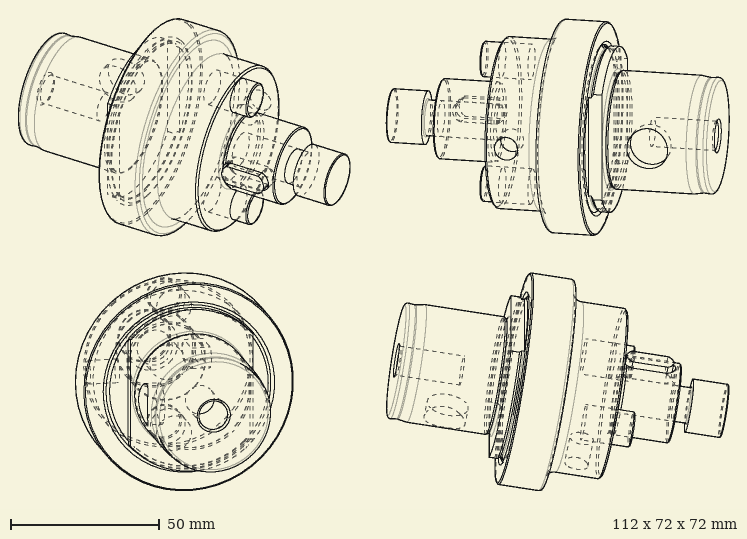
import cadquery as cq

TOTAL_LENGTH = 112.0

SHANK_RADIUS = 20.0
NOSE_RADIUS = 19.7
NOSE_FILLET = 1.0
GROOVE_RADIUS = 19.5
GROOVE_START = 3.0
GROOVE_WIDTH = 0.5
SHANK_FULL_X = 6.7

COLLAR_X = 35.4
COLLAR_RADIUS = 28.0
FLATS_WIDTH = 42.0

FLANGE_X = 40.0
FLANGE_END_X = 55.1
FLANGE_RADIUS = 72.0 / 2
FLANGE_CHAMFER = 0.5
FLANGE_FILLET = 1.0

HUB_END_X = 74.0
HUB_RADIUS = 29.0
HUB_ROOT_FILLET = 3.7
HUB_CHAMFER = 0.7

SPIGOT_END_X = 95.0
SPIGOT_RADIUS = 13.5
SPIGOT_CHAMFER = 0.5

SHOULDER_RELIEF_DEPTH = 0.5
SHOULDER_RELIEF_FILLET = 0.9
SHANK_RELIEF_WIDTH = 1.8
SHANK_RELIEF_SLOPE = 0.7
SPIGOT_RELIEF_WIDTH = 2.2
SPIGOT_RELIEF_SLOPE = 1.0

CORNER_RELIEF_DEPTH = 0.8
CORNER_RELIEF_WIDTH = 1.7
CORNER_RELIEF_HEIGHT = 1.5
CORNER_RELIEF_FILLET = 1.1

NOSE_HOLE_RADIUS = 4.9
NOSE_HOLE_DEPTH = 22.4
NOSE_HOLE_CHAMFER = 0.8

SHANK_HOLE_X = 20.0
SHANK_HOLE_DIAMETER = 14.0
SHANK_HOLE_DEPTH = 6.0
HUB_HOLE_X = 66.6
HUB_HOLE_DIAMETER = 8.0
HUB_HOLE_DEPTH = 10.1

PIN_RADIUS = 12.0 / 2
PIN_OFFSET = 22.0
PIN_END_X = 80.5
PIN_SEAT_DEPTH = 10.1
PIN_CHAMFER = 0.5

KEY_CENTER_X = 84.0
KEY_WIDTH = 7.2
KEY_STRAIGHT = 12.0
KEY_END_RISE = 2.0
KEYWAY_END_RISE = 2.9
KEYWAY_FLOOR = 9.0
KEY_TOP = 15.5

NECK_RADIUS = 6.0
SCREW_DEPTH = 20.2
HEAD_X = 99.9
HEAD_RADIUS = 9.1
NECK_FILLET = 0.5
HEAD_CHAMFER = 0.3


def axial_cylinder(start_x, end_x, radius, z=0):
    """Solid cylinder parallel to X."""
    disc = cq.Workplane("YZ", origin=(start_x, 0, z)).circle(radius)
    return disc.extrude(end_x - start_x)


def housing_profile():
    """Half section of the turned housing, closed along the axis."""
    shank_floor = SHANK_RADIUS - SHOULDER_RELIEF_DEPTH
    collar_floor = COLLAR_RADIUS - CORNER_RELIEF_DEPTH
    spigot_floor = SPIGOT_RADIUS - SHOULDER_RELIEF_DEPTH
    shank_relief_x = COLLAR_X - SHANK_RELIEF_WIDTH
    collar_relief_x = FLANGE_X - CORNER_RELIEF_WIDTH
    spigot_relief_x = HUB_END_X + SPIGOT_RELIEF_WIDTH
    corner_bottom_x = FLANGE_X + CORNER_RELIEF_DEPTH
    relief = SHOULDER_RELIEF_FILLET
    corner = CORNER_RELIEF_FILLET
    root = HUB_ROOT_FILLET

    profile = cq.Workplane("XY").moveTo(0, 0).lineTo(0, NOSE_RADIUS - NOSE_FILLET)
    profile = (
        profile.radiusArc((NOSE_FILLET, NOSE_RADIUS), NOSE_FILLET)
        .lineTo(GROOVE_START, GROOVE_RADIUS)
        .lineTo(GROOVE_START + GROOVE_WIDTH, GROOVE_RADIUS)
        .lineTo(SHANK_FULL_X, SHANK_RADIUS)
    )
    profile = (
        profile.lineTo(shank_relief_x, SHANK_RADIUS)
        .lineTo(shank_relief_x + SHANK_RELIEF_SLOPE, shank_floor)
        .lineTo(COLLAR_X - relief, shank_floor)
        .radiusArc((COLLAR_X, shank_floor + relief), -relief)
        .lineTo(COLLAR_X, COLLAR_RADIUS)
    )
    profile = (
        profile.lineTo(collar_relief_x, COLLAR_RADIUS)
        .lineTo(collar_relief_x + CORNER_RELIEF_DEPTH, collar_floor)
        .lineTo(corner_bottom_x - corner, collar_floor)
        .radiusArc((corner_bottom_x, collar_floor + corner), -corner)
        .lineTo(FLANGE_X, COLLAR_RADIUS + CORNER_RELIEF_HEIGHT)
    )
    profile = (
        profile.lineTo(FLANGE_X, FLANGE_RADIUS - FLANGE_CHAMFER)
        .lineTo(FLANGE_X + FLANGE_CHAMFER, FLANGE_RADIUS)
        .lineTo(FLANGE_END_X - FLANGE_FILLET, FLANGE_RADIUS)
        .radiusArc((FLANGE_END_X, FLANGE_RADIUS - FLANGE_FILLET), FLANGE_FILLET)
        .lineTo(FLANGE_END_X, HUB_RADIUS + root)
        .radiusArc((FLANGE_END_X + root, HUB_RADIUS), -root)
        .lineTo(HUB_END_X - HUB_CHAMFER, HUB_RADIUS)
        .lineTo(HUB_END_X, HUB_RADIUS - HUB_CHAMFER)
    )
    return (
        profile.lineTo(HUB_END_X, spigot_floor + relief)
        .radiusArc((HUB_END_X + relief, spigot_floor), -relief)
        .lineTo(spigot_relief_x - SPIGOT_RELIEF_SLOPE, spigot_floor)
        .lineTo(spigot_relief_x, SPIGOT_RADIUS)
        .lineTo(SPIGOT_END_X - SPIGOT_CHAMFER, SPIGOT_RADIUS)
        .lineTo(SPIGOT_END_X, SPIGOT_RADIUS - SPIGOT_CHAMFER)
        .lineTo(SPIGOT_END_X, 0)
        .close()
    )


def wrench_flat_cutter(side):
    """Block that trims the collar to a flat on one Y side, down to the flange face."""
    size = 2 * COLLAR_RADIUS
    length = FLANGE_X - COLLAR_X
    center_y = side * (FLATS_WIDTH + size) / 2
    return cq.Workplane("XY").box(length, size, size).translate((COLLAR_X + length / 2, center_y, 0))


def nose_hole():
    """Blind axial hole with a chamfered mouth."""
    mouth_radius = NOSE_HOLE_RADIUS + NOSE_HOLE_CHAMFER
    return (
        cq.Workplane("XY")
        .moveTo(0, 0)
        .lineTo(0, mouth_radius)
        .lineTo(NOSE_HOLE_CHAMFER, NOSE_HOLE_RADIUS)
        .lineTo(NOSE_HOLE_DEPTH, NOSE_HOLE_RADIUS)
        .lineTo(NOSE_HOLE_DEPTH, 0)
        .close()
        .revolve(360, (0, 0, 0), (1, 0, 0))
    )


def radial_hole(x, diameter, surface_radius, depth):
    """Flat-bottomed hole along Y, entering from the +Y side."""
    floor_y = surface_radius - depth
    mouth = cq.Workplane("XZ", origin=(x, floor_y, 0)).circle(diameter / 2)
    return mouth.extrude(-2 * depth)


def key_prism(end_rise, top):
    """Straight-sided prism with bowed ends, from the keyway floor out to y = -top."""
    half_straight = KEY_STRAIGHT / 2
    half_width = KEY_WIDTH / 2
    tip = half_straight + end_rise
    return (
        cq.Workplane("XZ", origin=(KEY_CENTER_X, -KEYWAY_FLOOR, 0))
        .moveTo(-half_straight, half_width)
        .lineTo(half_straight, half_width)
        .threePointArc((tip, 0), (half_straight, -half_width))
        .lineTo(-half_straight, -half_width)
        .threePointArc((-tip, 0), (-half_straight, half_width))
        .close()
        .extrude(top - KEYWAY_FLOOR)
    )


def make_housing():
    """Shank, collar, flange, hub and spigot with seats for the other bodies."""
    body = housing_profile().revolve(360, (0, 0, 0), (1, 0, 0))
    for side in (-1, 1):
        body = body.cut(wrench_flat_cutter(side))
        body = body.cut(axial_cylinder(HUB_END_X - PIN_SEAT_DEPTH, HUB_END_X, PIN_RADIUS, side * PIN_OFFSET))
    body = body.cut(nose_hole())
    body = body.cut(radial_hole(SHANK_HOLE_X, SHANK_HOLE_DIAMETER, SHANK_RADIUS, SHANK_HOLE_DEPTH))
    body = body.cut(radial_hole(HUB_HOLE_X, HUB_HOLE_DIAMETER, HUB_RADIUS, HUB_HOLE_DEPTH))
    body = body.cut(key_prism(KEYWAY_END_RISE, KEY_TOP))
    return body.cut(axial_cylinder(SPIGOT_END_X - SCREW_DEPTH, SPIGOT_END_X, NECK_RADIUS))


def make_drive_pin(side):
    """Round pin standing out of the hub face, above or below the axis."""
    pin = axial_cylinder(HUB_END_X - PIN_SEAT_DEPTH, PIN_END_X, PIN_RADIUS, side * PIN_OFFSET)
    return pin.faces(">X").chamfer(PIN_CHAMFER)


def make_key():
    """Key resting on the keyway floor, with clearance at both ends."""
    return key_prism(KEY_END_RISE, KEY_TOP)


def make_screw():
    """Screw with a plain neck seated in the spigot and a larger round head."""
    return (
        cq.Workplane("XY")
        .moveTo(SPIGOT_END_X - SCREW_DEPTH, 0)
        .lineTo(SPIGOT_END_X - SCREW_DEPTH, NECK_RADIUS)
        .lineTo(HEAD_X - NECK_FILLET, NECK_RADIUS)
        .radiusArc((HEAD_X, NECK_RADIUS + NECK_FILLET), -NECK_FILLET)
        .lineTo(HEAD_X, HEAD_RADIUS)
        .lineTo(TOTAL_LENGTH - HEAD_CHAMFER, HEAD_RADIUS)
        .lineTo(TOTAL_LENGTH, HEAD_RADIUS - HEAD_CHAMFER)
        .lineTo(TOTAL_LENGTH, 0)
        .close()
        .revolve(360, (0, 0, 0), (1, 0, 0))
    )


housing = make_housing()
drive_pins = [make_drive_pin(side) for side in (-1, 1)]
key = make_key()
screw = make_screw()

result = cq.Compound.makeCompound(
    [housing.val(), *[pin.val() for pin in drive_pins], key.val(), screw.val()]
)